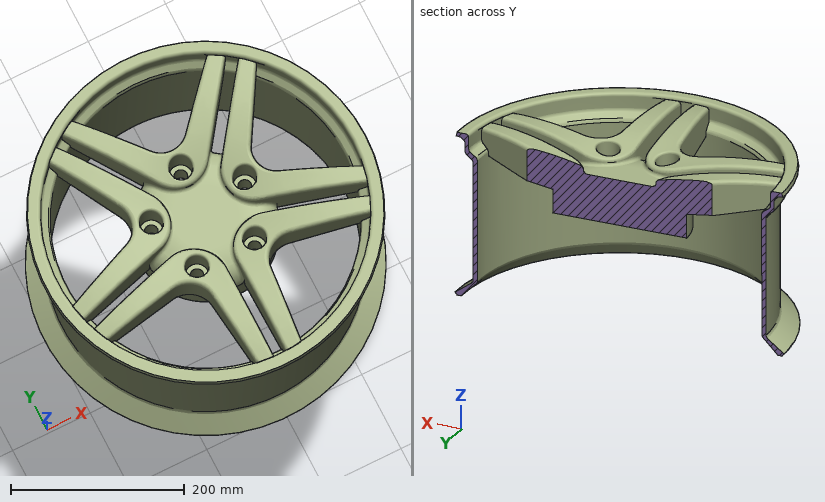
import cadquery as cq
import math

spoke_pairs = 5
half_pitch = math.pi / spoke_pairs
height = 207.15
max_radius = 207.87
small_gap = 0.2

flange_lip_radius = 206.4
flange_lip_taper = 1.2
flange_lip_bottom = 202.0
flange_neck_drop = 1.0
seat_radius = 195.2
seat_top = 197.0
barrel_radius = 185.0
step_top = 182.4
step_bottom = 174.0
flare_top = 20.6
flare_lip_height = 3.6
flare_lip_inset = 3.0
rim_blend = 5.0

wall = 6.0
flare_lip_width = 5.0
inner_seat_radius = 190.0
inner_barrel_radius = barrel_radius - wall
inner_step_top = 185.5
inner_step_bottom = 178.0
mouth_rounding = 4.2

slot_half_width = 7.5
spoke_taper = 5.4
crotch_reach = 86.0
crotch_blend = 30.5
root_blend = 39.8
spoke_end_radius = inner_seat_radius + wall / 4
spoke_foot_radius = inner_barrel_radius + wall / 3
spoke_edge_fillet = 4.6
spoke_top_inner = (30.0, 189.5)
spoke_top_middle = (97.0, 203.0)
spoke_top_outer = (spoke_end_radius, 202.5)
spoke_bottom_inner = 157.0
spoke_bottom_outer = 171.5

hub_radius = 84.5
hub_bottom = 127.0
hub_face_z = 184.8
hub_face_radius = 39.2
hub_shoulder_radius = 64.0
hub_shoulder_z = 182.0
hub_edge_z = 163.0
hub_spoke_fillet = 4.0

bolt_circle_radius = 63.4
bolt_hole_radius = 8.0
counterbore_radius = 13.8
counterbore_floor = 160.0
counterbore_fillet = 2.8


def turn(section):
    """Solid of revolution about Z from a section drawn in the XZ plane."""
    return section.close().revolve(360, (0, 0, 0), (0, 1, 0))


def ring_edge(body, radius, level):
    """Circular edge of a turned body nearest to the given radius and height."""
    rings = body.edges("%CIRCLE").vals()
    return min(rings, key=lambda ring: math.hypot(ring.radius() - radius, ring.startPoint().z - level))


def bolt_distance(point):
    """Horizontal distance from a point to the nearest wheel bolt axis."""
    distances = []
    for index in range(spoke_pairs):
        angle = math.pi / 2 + 2 * half_pitch * index
        bolt_x = bolt_circle_radius * math.cos(angle)
        bolt_y = bolt_circle_radius * math.sin(angle)
        distances.append(math.hypot(point.x - bolt_x, point.y - bolt_y))
    return min(distances)


def around_axis(body):
    """Copies of a body at every spoke position."""
    pitch = 360 / spoke_pairs
    return [body.rotate((0, 0, 0), (0, 0, 1), pitch * index).val() for index in range(spoke_pairs)]


def make_rim():
    """Thin-walled rim with blended steps on both sides and a rounded mouth."""
    section = (
        cq.Workplane("XZ")
        .moveTo(inner_seat_radius, height)
        .lineTo(flange_lip_radius - flange_lip_taper, height)
        .lineTo(flange_lip_radius, flange_lip_bottom)
        .lineTo(seat_radius + rim_blend, flange_lip_bottom - flange_neck_drop)
        .lineTo(seat_radius, seat_top)
        .lineTo(seat_radius, step_top)
        .lineTo(barrel_radius, step_bottom)
        .lineTo(barrel_radius, flare_top)
        .lineTo(max_radius, flare_lip_height)
        .lineTo(max_radius - flare_lip_inset, 0)
        .lineTo(max_radius - flare_lip_inset - flare_lip_width, 0)
        .lineTo(inner_barrel_radius, flare_top)
        .lineTo(inner_barrel_radius, inner_step_bottom)
        .lineTo(inner_seat_radius, inner_step_top)
    )
    rim = turn(section)
    blended_corners = [
        (seat_radius, seat_top),
        (seat_radius, step_top),
        (barrel_radius, step_bottom),
        (barrel_radius, flare_top),
        (inner_barrel_radius, flare_top),
        (inner_barrel_radius, inner_step_bottom),
        (inner_seat_radius, inner_step_top),
    ]
    rim = rim.newObject([ring_edge(rim, *corner) for corner in blended_corners]).fillet(rim_blend)
    return rim.newObject([ring_edge(rim, inner_seat_radius, height)]).fillet(mouth_rounding)


def make_hub():
    """Solid hub with a flat face that rolls smoothly over a shoulder to its side."""
    section = (
        cq.Workplane("XZ")
        .moveTo(0, hub_bottom)
        .lineTo(0, hub_face_z)
        .lineTo(hub_face_radius, hub_face_z)
        .tangentArcPoint((hub_shoulder_radius, hub_shoulder_z), relative=False)
        .tangentArcPoint((hub_radius, hub_edge_z), relative=False)
        .lineTo(hub_radius, hub_bottom)
    )
    return turn(section)


def make_spoke_prism():
    """Straight-walled V of two tapered arms opening along +Y."""
    outer_angle = half_pitch + math.radians(spoke_taper)
    root_centre = (slot_half_width + root_blend) / math.sin(half_pitch)
    crotch_centre = crotch_reach + crotch_blend
    arm_length = max_radius

    root_x = root_blend * math.cos(half_pitch)
    root_y = root_centre - root_blend * math.sin(half_pitch)
    crotch_x = crotch_blend * math.cos(outer_angle)
    crotch_y = crotch_centre - crotch_blend * math.sin(outer_angle)
    slot_tip_x = root_x + arm_length * math.sin(half_pitch)
    slot_tip_y = root_y + arm_length * math.cos(half_pitch)
    outer_tip_x = crotch_x + arm_length * math.sin(outer_angle)
    outer_tip_y = crotch_y + arm_length * math.cos(outer_angle)

    return (
        cq.Workplane("XY")
        .moveTo(-root_x, root_y)
        .threePointArc((0, root_centre - root_blend), (root_x, root_y))
        .lineTo(slot_tip_x, slot_tip_y)
        .lineTo(outer_tip_x, outer_tip_y)
        .lineTo(crotch_x, crotch_y)
        .threePointArc((0, crotch_reach), (-crotch_x, crotch_y))
        .lineTo(-outer_tip_x, outer_tip_y)
        .lineTo(-slot_tip_x, slot_tip_y)
        .close()
        .extrude(height)
    )


def make_spoke_envelope():
    """Turned body that gives the spokes their domed top, sloping underside and embedded ends."""
    section = (
        cq.Workplane("XZ")
        .moveTo(*spoke_top_inner)
        .threePointArc(spoke_top_middle, spoke_top_outer)
        .lineTo(spoke_end_radius, inner_step_top)
        .lineTo(spoke_foot_radius, inner_step_bottom)
        .lineTo(spoke_foot_radius, spoke_bottom_outer)
        .lineTo(hub_radius, spoke_bottom_inner)
        .lineTo(spoke_top_inner[0], spoke_bottom_inner)
    )
    return turn(section)


def make_counterbore():
    """Deep recess for the wheel bolt on +Y, open at the top."""
    return (
        cq.Workplane("XY", origin=(0, bolt_circle_radius, counterbore_floor))
        .circle(counterbore_radius)
        .extrude(height - counterbore_floor)
    )


def make_bolt_cutter():
    """Through hole and counterbore for the wheel bolt on +Y."""
    hole = cq.Workplane("XY", origin=(0, bolt_circle_radius, 0)).circle(bolt_hole_radius).extrude(height)
    return hole.union(make_counterbore())


def make_spoke_pair():
    """V-shaped spoke pair with rounded upper edges and a rounded counterbore mouth."""
    pair = make_spoke_prism().intersect(make_spoke_envelope())
    top_face = max(pair.faces().vals(), key=lambda face: face.Center().z)
    long_edges = [
        edge for edge in top_face.Edges()
        if math.hypot(edge.Center().x, edge.Center().y) < inner_barrel_radius
    ]
    pair = pair.newObject(long_edges).fillet(spoke_edge_fillet)

    pair = pair.cut(make_counterbore())
    mouth = [
        edge for edge in pair.edges().vals()
        if edge.Center().z > hub_face_z and bolt_distance(edge.Center()) < 1
    ]
    return pair.newObject(mouth).fillet(counterbore_fillet)


def blend_spokes_to_hub(spider):
    """Fillet along the foot of every spoke pair where it rises from the hub."""
    foot = []
    for edge in spider.Edges():
        middle = edge.positionAt(0.5)
        on_hub = hub_face_radius < math.hypot(middle.x, middle.y) < hub_radius - small_gap
        below_face = middle.z < hub_face_z + small_gap
        clear_of_bolt = bolt_distance(middle) > counterbore_radius + counterbore_fillet
        if edge.geomType() == "BSPLINE" and on_hub and below_face and clear_of_bolt:
            foot.append(edge)
    return spider.fillet(hub_spoke_fillet, foot)


def make_spider():
    """Hub with all spoke pairs, blended together."""
    spider = make_hub().val().fuse(*around_axis(make_spoke_pair()))
    return blend_spokes_to_hub(spider)


wheel = make_rim().val().fuse(make_spider())
wheel = wheel.cut(*around_axis(make_bolt_cutter())).clean()
result = cq.Workplane(wheel.Solids()[0])